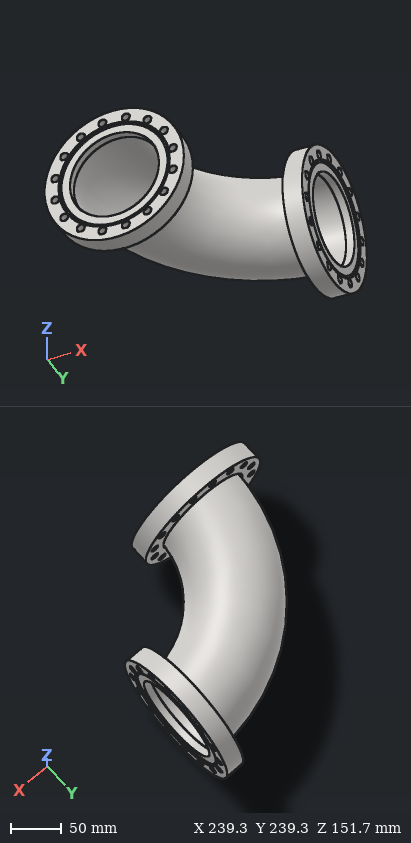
import cadquery as cq

overall_length = 239.3
flange_diameter = 151.7
flange_thickness = 21.3
center_to_face = overall_length - flange_diameter / 2

tube_outer_diameter = 102.0
tube_bore_diameter = 96.7

ring_diameter = 120.4
ring_face_diameter = 115.4
ring_thickness = 9.0
ring_recess = 1.0
ring_bevel_depth = 1.2
ring_back = ring_recess + ring_thickness

seat_diameter = 120.5
clearance_bore_diameter = 104.8
bolt_count = 16
bolt_circle_diameter = 65.0 * 2
bolt_hole_diameter = 8.4

bend_radius = center_to_face - ring_back


def port_cylinder(diameter, length):
    """Cylinder on the first port axis, from the flange face at Y = 0 toward +Y."""
    return cq.Workplane("XZ").circle(diameter / 2).extrude(-length)


def make_flange():
    """Bolt flange with its outer face on Y = 0 and a seat for the weld ring."""
    blank = port_cylinder(flange_diameter, flange_thickness)
    seat = port_cylinder(seat_diameter, ring_back)
    bore = port_cylinder(clearance_bore_diameter, flange_thickness)
    bolt_holes = (
        cq.Workplane("XZ")
        .polarArray(bolt_circle_diameter / 2, 180 / bolt_count, 360, bolt_count)
        .circle(bolt_hole_diameter / 2)
        .extrude(-flange_thickness)
    )
    return blank.cut(seat).cut(bore).cut(bolt_holes)


def make_weld_ring():
    """Ring with a bevelled outer front edge, revolved about the Y axis."""
    inner_radius = tube_bore_diameter / 2
    outer_radius = ring_diameter / 2
    profile = [
        (inner_radius, ring_recess),
        (ring_face_diameter / 2, ring_recess),
        (outer_radius, ring_recess + ring_bevel_depth),
        (outer_radius, ring_back),
        (inner_radius, ring_back),
    ]
    return cq.Workplane("XY").polyline(profile).close().revolve(360, (0, 0), (0, 1))


def make_elbow():
    """Tube bent through 90 degrees, from the back of one weld ring to the other."""
    return (
        cq.Workplane("XZ", origin=(0, ring_back, 0))
        .circle(tube_outer_diameter / 2)
        .circle(tube_bore_diameter / 2)
        .revolve(90, (bend_radius, 2.5, 0), (bend_radius, 0, 0))
    )


def to_second_port(body):
    """Turn a first-port body about the meeting point of the port axes, to face +X."""
    return body.rotate((0, center_to_face, 0), (0, center_to_face, 1), 90)


flange = make_flange()
weld_ring = make_weld_ring()
elbow = make_elbow()

bodies = [elbow.val()]
for body in (flange, weld_ring):
    bodies.append(body.val())
    bodies.append(to_second_port(body).val())

result = cq.Compound.makeCompound(bodies)